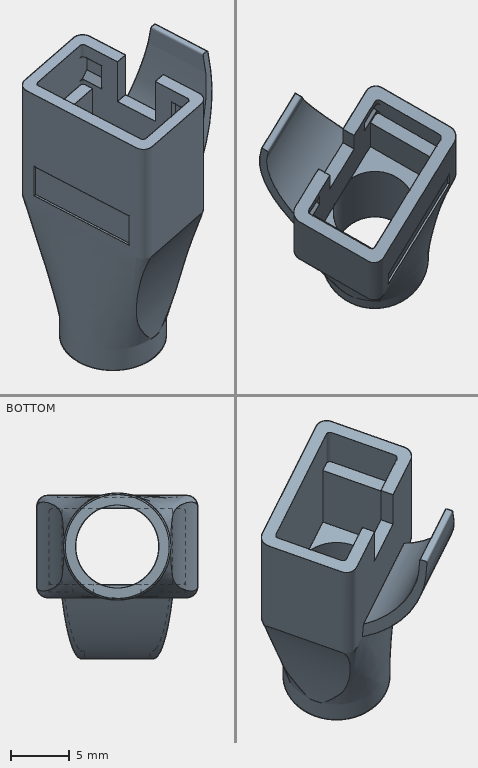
import cadquery as cq
import math


HEIGHT = 28.2

SLEEVE_X = 13.82
SLEEVE_Y = 8.8
SLEEVE_BOTTOM = 15.5
SLEEVE_CORNER = 1.0

COLLAR_DIAMETER = 9.2
COLLAR_TOP = 2.55
COLLAR_CHAMFER = 0.15
BORE_DIAMETER = 7.1

CAVITY_X = 11.7
CAVITY_Y = 6.55
CAVITY_CORNER = 0.35
LEDGE_GAP = 9.5
LEDGE_TOP = 23.6

SLOT_WIDTH = 4.1

CATCH_INNER_X = 3.78
CATCH_BOTTOM = 24.1
CATCH_TOP = 26.8
CATCH_DEPTH = 0.62

LABEL_WIDTH = 10.26
LABEL_BOTTOM = 16.5
LABEL_TOP = 19.88
LABEL_DEPTH = 0.2

LEVER_REACH = 9.62
LEVER_TIP_THICKNESS = 0.68
LEVER_TOP = 27.7
LEVER_STRAIGHT_BOTTOM = 25.72
LEVER_ROOT_HEIGHT = 1.6
LEVER_OUTER_MID = (8.12, 19.95)
LEVER_INNER_MID = (7.59, 21.15)
LEVER_ROOT_HALF_WIDTH = 4.75
LEVER_TIP_HALF_WIDTH = 2.82
LEVER_TIP_FILLET = 0.2

BACK_FACE = SLEEVE_Y / 2
CAVITY_BACK = CAVITY_Y / 2
WALL_MIDDLE = (BACK_FACE + CAVITY_BACK) / 2
COLLAR_RADIUS = COLLAR_DIAMETER / 2


def block(size_x, size_y, bottom, top):
    """Upright block centred on the Z axis."""
    return cq.Workplane("XY").workplane(offset=bottom).rect(size_x, size_y).extrude(top - bottom)


def box_between(x_range, y_range, z_range):
    """Box given by its limits along each axis."""
    sizes = [high - low for low, high in (x_range, y_range, z_range)]
    corner = cq.Vector(x_range[0], y_range[0], z_range[0])
    return cq.Workplane("XY").box(*sizes, centered=False).translate(corner)


def rounded_rectangle_wire(z):
    """Sleeve outline as four sides and four corner arcs."""
    flat_x = SLEEVE_X / 2 - SLEEVE_CORNER
    flat_y = SLEEVE_Y / 2 - SLEEVE_CORNER
    diagonal = SLEEVE_CORNER * math.sqrt(0.5)
    half_x = SLEEVE_X / 2
    half_y = SLEEVE_Y / 2
    outline = (
        cq.Workplane("XY", origin=(0, 0, z))
        .moveTo(half_x, -flat_y)
        .lineTo(half_x, flat_y)
        .threePointArc((flat_x + diagonal, flat_y + diagonal), (flat_x, half_y))
        .lineTo(-flat_x, half_y)
        .threePointArc((-flat_x - diagonal, flat_y + diagonal), (-half_x, flat_y))
        .lineTo(-half_x, -flat_y)
        .threePointArc((-flat_x - diagonal, -flat_y - diagonal), (-flat_x, -half_y))
        .lineTo(flat_x, -half_y)
        .threePointArc((flat_x + diagonal, -flat_y - diagonal), (half_x, -flat_y))
        .close()
    )
    return outline.val()


def divided_circle_wire(z):
    """Collar outline split into eight arcs that face the sleeve's sides and corners."""
    side_end = math.atan2(SLEEVE_Y / 2 - SLEEVE_CORNER, SLEEVE_X / 2)
    corner_end = math.atan2(SLEEVE_Y / 2, SLEEVE_X / 2 - SLEEVE_CORNER)
    angles = [-side_end]
    for half_turn in (0, math.pi):
        angles += [half_turn + side_end, half_turn + corner_end]
        angles += [half_turn + math.pi - corner_end, half_turn + math.pi - side_end]

    def point(angle):
        return (COLLAR_RADIUS * math.cos(angle), COLLAR_RADIUS * math.sin(angle))

    outline = cq.Workplane("XY", origin=(0, 0, z)).moveTo(*point(angles[0]))
    for start, end in zip(angles, angles[1:]):
        outline = outline.threePointArc(point((start + end) / 2), point(end))
    return outline.wire().val()


def make_taper():
    """Loft from collar to sleeve, its sides trimmed by arcs tangent to the collar."""
    wires = [divided_circle_wire(COLLAR_TOP), rounded_rectangle_wire(SLEEVE_BOTTOM)]
    loft = cq.Workplane("XY").add(cq.Solid.makeLoft(wires, True))

    rise = SLEEVE_BOTTOM - COLLAR_TOP
    spread = SLEEVE_X / 2 - COLLAR_RADIUS
    side_radius = (rise**2 + spread**2) / (2 * spread)
    mid_x = COLLAR_RADIUS + side_radius - math.sqrt(side_radius**2 - (rise / 2) ** 2)
    mid_z = COLLAR_TOP + rise / 2
    side_trim = (
        cq.Workplane("XZ")
        .moveTo(-COLLAR_RADIUS, COLLAR_TOP)
        .lineTo(COLLAR_RADIUS, COLLAR_TOP)
        .threePointArc((mid_x, mid_z), (SLEEVE_X / 2, SLEEVE_BOTTOM))
        .lineTo(-SLEEVE_X / 2, SLEEVE_BOTTOM)
        .threePointArc((-mid_x, mid_z), (-COLLAR_RADIUS, COLLAR_TOP))
        .close()
        .extrude(SLEEVE_X / 2, both=True)
    )
    return loft.intersect(side_trim)


def make_lever():
    """Curved lever that narrows towards its tip."""
    inner_tip = LEVER_REACH - LEVER_TIP_THICKNESS
    blade = (
        cq.Workplane("YZ")
        .moveTo(WALL_MIDDLE, SLEEVE_BOTTOM)
        .lineTo(BACK_FACE, SLEEVE_BOTTOM)
        .threePointArc(LEVER_OUTER_MID, (LEVER_REACH, LEVER_STRAIGHT_BOTTOM))
        .lineTo(LEVER_REACH, LEVER_TOP)
        .lineTo(inner_tip, LEVER_TOP)
        .lineTo(inner_tip, LEVER_STRAIGHT_BOTTOM)
        .threePointArc(LEVER_INNER_MID, (BACK_FACE, SLEEVE_BOTTOM + LEVER_ROOT_HEIGHT))
        .lineTo(WALL_MIDDLE, SLEEVE_BOTTOM + LEVER_ROOT_HEIGHT)
        .close()
        .extrude(LEVER_ROOT_HALF_WIDTH, both=True)
        .faces(">Z")
        .edges("|X")
        .fillet(LEVER_TIP_FILLET)
    )
    side_taper = (
        cq.Workplane("XZ")
        .polyline([
            (-LEVER_ROOT_HALF_WIDTH, SLEEVE_BOTTOM),
            (LEVER_ROOT_HALF_WIDTH, SLEEVE_BOTTOM),
            (LEVER_TIP_HALF_WIDTH, LEVER_TOP),
            (-LEVER_TIP_HALF_WIDTH, LEVER_TOP),
        ])
        .close()
        .extrude(-LEVER_REACH)
    )
    return blade.intersect(side_taper)


def make_catch_pocket():
    """Pocket on the +X side of the back wall, its bottom sloping up at 45 degrees."""
    return (
        cq.Workplane("YZ", origin=(CATCH_INNER_X, 0, 0))
        .polyline([
            (0, CATCH_BOTTOM),
            (CAVITY_BACK, CATCH_BOTTOM),
            (CAVITY_BACK + CATCH_DEPTH, CATCH_BOTTOM + CATCH_DEPTH),
            (CAVITY_BACK + CATCH_DEPTH, CATCH_TOP),
            (0, CATCH_TOP),
        ])
        .close()
        .extrude(CAVITY_X / 2 - CATCH_INNER_X)
    )


collar = cq.Workplane("XY").circle(COLLAR_RADIUS).extrude(COLLAR_TOP)
collar = collar.faces("<Z").edges().chamfer(COLLAR_CHAMFER)
sleeve = block(SLEEVE_X, SLEEVE_Y, SLEEVE_BOTTOM, HEIGHT).edges("|Z").fillet(SLEEVE_CORNER)
body = collar.union(make_taper()).union(sleeve).union(make_lever())

bore = cq.Workplane("XY").circle(BORE_DIAMETER / 2).extrude(SLEEVE_BOTTOM)
lower_cavity = block(LEDGE_GAP, CAVITY_Y, SLEEVE_BOTTOM, HEIGHT)
upper_cavity = block(CAVITY_X, CAVITY_Y, LEDGE_TOP, HEIGHT).edges("|Z").fillet(CAVITY_CORNER)
body = body.cut(bore).cut(lower_cavity).cut(upper_cavity)

slot = box_between((-SLOT_WIDTH / 2, SLOT_WIDTH / 2), (0, BACK_FACE), (LEDGE_TOP, HEIGHT))
catch_pocket = make_catch_pocket()
body = body.cut(slot).cut(catch_pocket).cut(catch_pocket.mirror("YZ"))

label = box_between(
    (-LABEL_WIDTH / 2, LABEL_WIDTH / 2),
    (-SLEEVE_Y / 2, -SLEEVE_Y / 2 + LABEL_DEPTH),
    (LABEL_BOTTOM, LABEL_TOP),
)
result = body.cut(label)